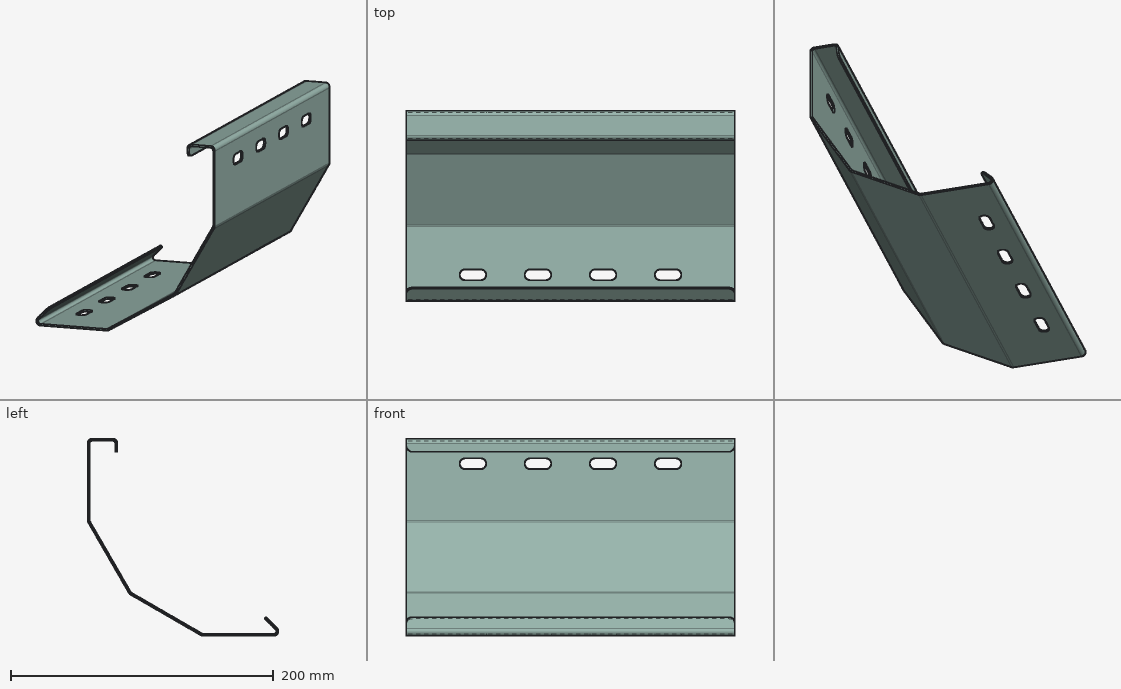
import cadquery as cq
import math

length = 250.0
depth = 145.04
height = 150.0

thickness = 1.5
inner_radius = 2.0
outer_radius = inner_radius + thickness

panel_bend = 30.0
slant_panel = 63.7
top_flange = 22.5
top_lip = 10.0
bottom_lip_bend = 135.0

bottom_lip_flat = 11.8

lip_corner_radius = 5.0

slot_length = 20.0
slot_width = 8.0
slot_pitch = 49.5
slot_count = 4
slot_from_top = 19.0
slot_from_front = 20.0


def setback(angle):
    """Distance from the sharp outer corner of a bend to the start of its arc."""
    return outer_radius * math.tan(math.radians(angle / 2))


panel_slope = math.radians(panel_bend)
slant_reach = slant_panel * (math.cos(panel_slope) + math.sin(panel_slope))
slant_flat = slant_panel - 2 * setback(panel_bend)
back_flat = height - slant_reach - outer_radius - setback(panel_bend)
floor_flat = depth - slant_reach - outer_radius - setback(panel_bend)

strip = [
    (top_lip - outer_radius, 90.0),
    (top_flange - 2 * outer_radius, 90.0),
    (back_flat, panel_bend),
    (slant_flat, panel_bend),
    (slant_flat, panel_bend),
    (floor_flat, bottom_lip_bend),
    (bottom_lip_flat, 0.0),
]


def bend_point(center, radius, heading):
    """Point on a clockwise bend where the sheet runs along the given heading."""
    angle = math.radians(heading + 90)
    return (center[0] + radius * math.cos(angle), center[1] + radius * math.sin(angle))


def advance(point, distance, heading):
    """Point reached by moving straight along a heading."""
    angle = math.radians(heading)
    return (point[0] + distance * math.cos(angle), point[1] + distance * math.sin(angle))


def make_sheet():
    """Walk clockwise along the outer face, return along the inner face and extrude."""
    heading = 90.0
    start = (depth / 2 - top_flange, height - top_lip)
    outer_end = start
    profile = cq.Workplane("YZ", origin=(-length / 2, 0, 0)).moveTo(*start)
    bends = []
    for flat, turn in strip:
        outer_end = advance(outer_end, flat, heading)
        profile = profile.lineTo(*outer_end)
        if turn:
            center = advance(outer_end, outer_radius, heading - 90)
            bends.append((center, heading, turn))
            middle = bend_point(center, outer_radius, heading - turn / 2)
            outer_end = bend_point(center, outer_radius, heading - turn)
            profile = profile.threePointArc(middle, outer_end)
            heading -= turn
    profile = profile.lineTo(*advance(outer_end, thickness, heading - 90))
    for center, bend_heading, turn in reversed(bends):
        profile = profile.lineTo(*bend_point(center, inner_radius, bend_heading - turn))
        profile = profile.threePointArc(
            bend_point(center, inner_radius, bend_heading - turn / 2),
            bend_point(center, inner_radius, bend_heading),
        )
    inner_start = advance(start, thickness, 0)
    return profile.lineTo(*inner_start).close().extrude(length)


def round_lip_corners(sheet):
    """Round the free corners at both ends of the two lips."""
    lip_slope = math.radians(180 - bottom_lip_bend)
    lip_top = outer_radius * (1 + math.cos(lip_slope)) + bottom_lip_flat * math.sin(lip_slope)
    top_edge_y = depth / 2 - top_flange
    top_corners = cq.selectors.BoxSelector(
        (-length, top_edge_y - thickness, height - top_lip - thickness),
        (length, top_edge_y + 2 * thickness, height - top_lip + thickness),
    )
    bottom_corners = cq.selectors.BoxSelector(
        (-length, -depth / 2, lip_top - 2 * thickness),
        (length, bottom_lip_flat - depth / 2, lip_top + thickness),
    )
    bottom_lip_normal = cq.Vector(0, math.sin(lip_slope), -math.cos(lip_slope))
    across_bottom_lip = cq.selectors.ParallelDirSelector(bottom_lip_normal)
    sheet = sheet.edges("|Y").edges(top_corners).fillet(lip_corner_radius)
    return sheet.edges(across_bottom_lip).edges(bottom_corners).fillet(lip_corner_radius)


def slot_cutter(plane, origin):
    """Row of slots along X, cut through the panel whose outer face holds the origin."""
    return (
        cq.Workplane(plane, origin=origin)
        .rarray(slot_pitch, 1, slot_count, 1)
        .slot2D(slot_length, slot_width)
        .extrude(outer_radius, both=True)
    )


back_slots = slot_cutter("XZ", (0, depth / 2, height - slot_from_top))
floor_slots = slot_cutter("XY", (0, slot_from_front - depth / 2, 0))

result = round_lip_corners(make_sheet()).cut(back_slots).cut(floor_slots)